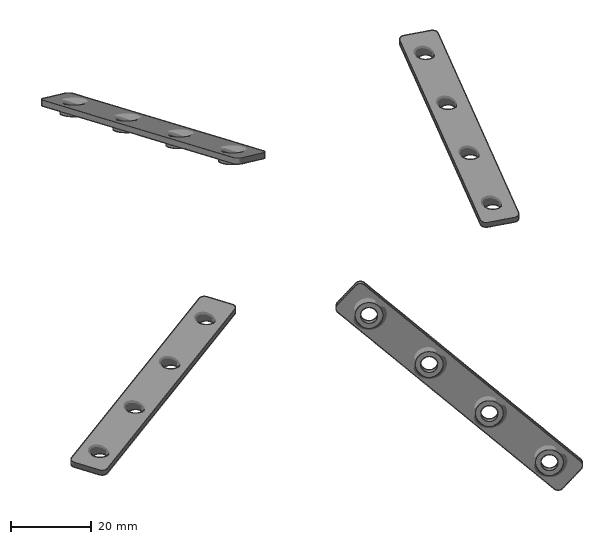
import cadquery as cq
import math

plate_length = 75
plate_width = 10.0
plate_thickness = 1.6
corner_radius = 1.5

total_height = 3
hole_count = 4
hole_pitch = 20.0
hole_diameter = 4.3
mouth_radius = 1.4
collar_diameter = 7.0
collar_land = 0.4

collar_height = total_height - plate_thickness
flare_radius = collar_height - collar_land


def make_plate():
    """Flat strip with rounded corners; its top face is at total_height."""
    return (
        cq.Workplane("XY", origin=(0, 0, collar_height))
        .rect(plate_length, plate_width)
        .extrude(plate_thickness)
        .edges("|Z")
        .fillet(corner_radius)
    )


def make_collar():
    """Collar under the plate that flares into it through a concave arc."""
    outer = collar_diameter / 2
    arc_offset = flare_radius * (1 - math.sqrt(0.5))
    return (
        cq.Workplane("XZ")
        .lineTo(outer, 0)
        .lineTo(outer, collar_land)
        .threePointArc(
            (outer + arc_offset, collar_height - arc_offset),
            (outer + flare_radius, collar_height),
        )
        .lineTo(0, collar_height)
        .close()
        .revolve(360, (0, 0, 0), (0, 1, 0))
    )


def make_bore():
    """Through hole that widens to the top face through a convex arc."""
    bore = hole_diameter / 2
    arc_offset = mouth_radius * (1 - math.sqrt(0.5))
    return (
        cq.Workplane("XZ")
        .lineTo(bore, 0)
        .lineTo(bore, total_height - mouth_radius)
        .threePointArc(
            (bore + arc_offset, total_height - arc_offset),
            (bore + mouth_radius, total_height),
        )
        .lineTo(0, total_height)
        .close()
        .revolve(360, (0, 0, 0), (0, 1, 0))
    )


hole_positions = [(i - (hole_count - 1) / 2) * hole_pitch for i in range(hole_count)]

result = make_plate()
for x in hole_positions:
    result = result.union(make_collar().translate((x, 0, 0)))
for x in hole_positions:
    result = result.cut(make_bore().translate((x, 0, 0)))